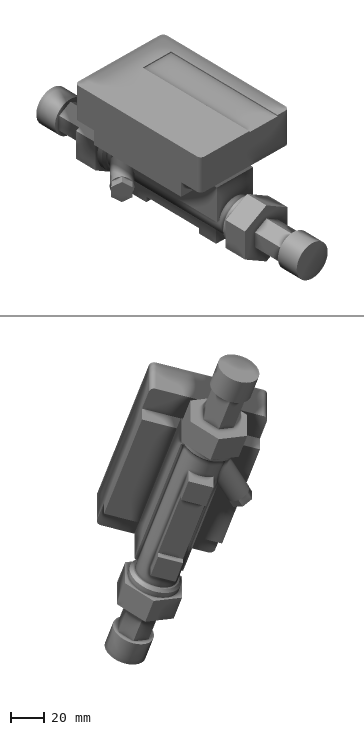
import cadquery as cq
import math


total_length = 226.0
pipe_radius = 13.5
collar_radius = 16.5
collar_chamfer = 1.8
collar_inner_end = 50.8
nut_inner_end = 56.5
nut_outer_end = 73.2
nut_across_flats = 36.2
stem_across_flats = 19.2
cap_radius = 13.0
cap_length = 16.3

housing_length = 109.4
housing_width = 75.0
housing_bottom = 38.6
housing_top = 64.9
housing_corner_radius = 3.5

recess_start_x = -37.7
recess_start_y = 3.6
recess_width = 24.0
recess_depth = 1.0

neck_length = 75.5
neck_bottom = 27.8

block_length = 92.0
block_width = 30.7
block_bottom = 2.0

foot_length = neck_length
foot_width = 15.8
foot_bottom = -22.0
foot_notch_length = 45.7
foot_notch_depth = 4.0

port_axis_x = -51.3
port_angle = -45.0
port_radius = 7.5
port_reach = 46.0
port_tip_length = 5.6


def box_between(length, width, bottom, top):
    """Box centred on the Z axis, spanning the given heights."""
    return cq.Workplane("XY").workplane(offset=bottom).rect(length, width).extrude(top - bottom)


def hexagon_points(circumradius):
    """Hexagon corners with one corner straight up the second sketch axis."""
    angles = [math.radians(90 + 60 * corner) for corner in range(6)]
    return [(circumradius * math.cos(a), circumradius * math.sin(a)) for a in angles]


def axial_cylinder(start, end, radius):
    """Cylinder on the pipe axis between two X positions."""
    return cq.Workplane("YZ").workplane(offset=start).circle(radius).extrude(end - start)


def axial_hexagon(start, end, across_flats):
    """Hexagonal bar on the pipe axis with corners at top and bottom."""
    corners = hexagon_points(across_flats / math.sqrt(3))
    return cq.Workplane("YZ").workplane(offset=start).polyline(corners).close().extrude(end - start)


def make_end_fitting():
    """Collar, union nut, hexagonal stem and round cap at the +X end."""
    half_length = total_length / 2
    cap_start = half_length - cap_length
    collar = axial_cylinder(collar_inner_end, nut_inner_end, collar_radius)
    collar = collar.faces("<X").chamfer(collar_chamfer)
    nut = axial_hexagon(nut_inner_end, nut_outer_end, nut_across_flats)
    stem = axial_hexagon(nut_outer_end, cap_start, stem_across_flats)
    cap = axial_cylinder(cap_start, half_length, cap_radius)
    return collar.union(nut).union(stem).union(cap)


def make_housing():
    """Rounded housing with a shallow lid recess, standing on its neck."""
    housing = box_between(housing_length, housing_width, housing_bottom, housing_top)
    housing = housing.edges("|Z").fillet(housing_corner_radius)
    recess_length = housing_length / 2 - recess_start_x
    recess = cq.Workplane("XY").box(recess_length, recess_width, recess_depth, centered=False)
    recess = recess.translate((recess_start_x, recess_start_y, housing_top - recess_depth))
    neck = box_between(neck_length, housing_width, neck_bottom, housing_bottom)
    return housing.cut(recess).union(neck)


def make_foot():
    """Foot under the pipe, notched in the middle of its underside."""
    foot = box_between(foot_length, foot_width, foot_bottom, 0)
    notch = box_between(foot_notch_length, foot_width, foot_bottom, foot_bottom + foot_notch_depth)
    return foot.cut(notch)


def make_port():
    """Round port starting on the pipe axis, ending in a hexagonal tip."""
    barrel_length = port_reach - port_tip_length
    barrel = axial_cylinder(0, barrel_length, port_radius)
    tip = axial_hexagon(barrel_length, port_reach, port_radius * math.sqrt(3))
    port = barrel.union(tip).rotate((0, 0, 0), (0, 0, 1), port_angle)
    return port.translate((port_axis_x, 0, 0))


end_fitting = make_end_fitting()
pipe = axial_cylinder(-nut_inner_end, nut_inner_end, pipe_radius)
body_block = box_between(block_length, block_width, block_bottom, neck_bottom)

result = (
    pipe.union(end_fitting)
    .union(end_fitting.mirror("YZ"))
    .union(body_block)
    .union(make_housing())
    .union(make_foot())
    .union(make_port())
)